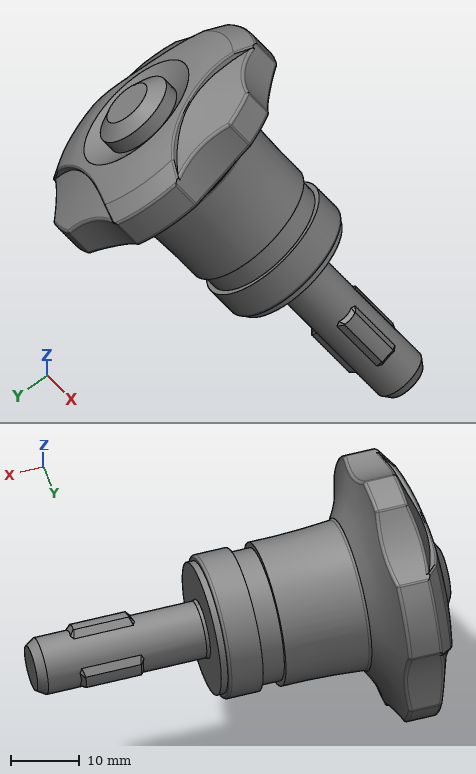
import cadquery as cq
import math

overall_length = 62.8

button_radius = 6.35
button_face_radius = 3.8
button_chamfer_length = 1.45
recess_radius = 10.05
recess_bottom_x = 3.75

head_diameter = 40.0
head_radius = head_diameter / 2
head_face_x = 2.15
dome_mid_x = 2.75
dome_mid_radius = 13.75
dome_end_x = 3.9
dome_end_radius = 17.1
rim_front_x = 5.9
rim_rear_x = 10.8

flare_mid_x = 12.2
flare_mid_radius = 15.3
neck_start_x = 14.45
neck_start_radius = 11.3
neck_mid_radius = 10.85
neck_end_x = 27.2
neck_end_radius = 10.8
neck_root_fillet = 0.5

groove_radius = 10.0
collar_start_x = 30.65
collar_end_x = 35.8
collar_fillet = 0.4
disc_end_x = 36.8

shaft_radius = 4.3
shaft_root_step = 0.2
shaft_root_length = 0.5
shaft_tip_radius = 3.4
shaft_tip_length = 1.4

key_count = 3
key_start_x = 46.6
key_length = 10.2
key_width = 4.0
key_corner = 0.55
key_outer_radius = 5.0
key_base_radius = 3.75
key_taper = 36.0
first_key_angle = 180.0

grip_count = 3
narrow_lobe_angle = 94.0
flute_offset_angle = 26.3
flute_radius = 17.6
flute_bottom_radius = 18.1
scoop_wall_distance = 11.7
scoop_wall_radius = 28.9
scoop_floor_start_radius = 11.3
scoop_floor_start_x = 2.7
scoop_floor_slope = 0.37
scoop_edge_fillet = 0.3
rim_fillet = 0.5
shortest_rim_edge = 2.5

surface_tolerance = 0.01
edge_samples = [0, 0.3, 0.7, 1]

scoop_angles = [narrow_lobe_angle + index * 360 / grip_count for index in range(grip_count)]
flute_angles = [angle + side * flute_offset_angle for angle in scoop_angles for side in (-1, 1)]
key_angles = [first_key_angle + index * 360 / key_count for index in range(key_count)]


def turned_body():
    """All the turned surfaces, revolved about X with the seam on -Z."""
    neck_mid_x = (neck_start_x + neck_end_x) / 2
    profile = (
        cq.Workplane("XY")
        .moveTo(0, 0)
        .lineTo(0, button_face_radius)
        .lineTo(button_chamfer_length, button_radius)
        .lineTo(recess_bottom_x, button_radius)
        .lineTo(head_face_x, recess_radius)
        .threePointArc((dome_mid_x, dome_mid_radius), (dome_end_x, dome_end_radius))
        .lineTo(rim_front_x, head_radius)
        .lineTo(rim_rear_x, head_radius)
        .threePointArc((flare_mid_x, flare_mid_radius), (neck_start_x, neck_start_radius))
        .threePointArc((neck_mid_x, neck_mid_radius), (neck_end_x, neck_end_radius))
        .lineTo(neck_end_x, groove_radius)
        .lineTo(collar_start_x, groove_radius)
        .lineTo(collar_start_x, neck_end_radius)
        .lineTo(collar_end_x - collar_fillet, neck_end_radius)
        .radiusArc((collar_end_x, neck_end_radius - collar_fillet), collar_fillet)
        .lineTo(collar_end_x, groove_radius)
        .lineTo(disc_end_x, groove_radius)
        .lineTo(disc_end_x, shaft_radius + shaft_root_step)
        .lineTo(disc_end_x + shaft_root_length, shaft_radius)
        .lineTo(overall_length - shaft_tip_length, shaft_radius)
        .lineTo(overall_length, shaft_tip_radius)
        .lineTo(overall_length, 0)
        .close()
    )
    return turned(profile.revolve(360, (0, 0, 0), (1, 0, 0)), -90)


def turned(shape, angle):
    """Rotate a shape about the part axis; angles run from +Y towards +Z."""
    return shape.rotate((0, 0, 0), (1, 0, 0), angle)


def flute():
    """Cylinder parallel to X that hollows the rim on the +Y side."""
    return (
        cq.Workplane("YZ")
        .center(flute_bottom_radius + flute_radius, 0)
        .circle(flute_radius)
        .extrude(neck_start_x)
    )


def scoop():
    """Front face cutter on the +Y side: arched wall parallel to X over a conical floor."""
    apex_x = scoop_floor_start_x - scoop_floor_slope * scoop_floor_start_radius
    reach = head_radius + flute_radius
    floor = (
        cq.Workplane("XY")
        .moveTo(apex_x, 0)
        .lineTo(apex_x + scoop_floor_slope * reach, reach)
        .lineTo(apex_x, reach)
        .close()
        .revolve(360, (0, 0, 0), (1, 0, 0))
    )
    wall = (
        cq.Workplane("YZ", origin=(apex_x, 0, 0))
        .center(scoop_wall_distance + scoop_wall_radius, 0)
        .circle(scoop_wall_radius)
        .extrude(rim_rear_x)
    )
    return wall.intersect(floor)


def key():
    """Tapered key on the -Y side of the shaft with a cylindrical top."""
    block = (
        cq.Workplane("XZ", origin=(key_start_x + key_length / 2, -key_base_radius, 0))
        .sketch()
        .rect(key_length, key_width)
        .vertices()
        .chamfer(key_corner)
        .finalize()
        .extrude(key_outer_radius - key_base_radius, taper=key_taper)
    )
    top = cq.Workplane("YZ").circle(key_outer_radius).extrude(overall_length)
    return block.intersect(top)


def distances_from_axis(edge, axis_radius, angle):
    """Distances of points along an edge from an axis parallel to X at a polar position."""
    axis_y = axis_radius * math.cos(math.radians(angle))
    axis_z = axis_radius * math.sin(math.radians(angle))
    points = edge.positions(edge_samples)
    return [math.hypot(point.y - axis_y, point.z - axis_z) for point in points]


def lies_on_cylinder(edge, axis_radius, angle, radius):
    """True where a whole edge lies on a cylinder parallel to X."""
    distances = distances_from_axis(edge, axis_radius, angle)
    return all(abs(distance - radius) < surface_tolerance for distance in distances)


def is_rim_edge(edge):
    """True for the long edges around the lobes and flutes of the rim."""
    if edge.Length() < shortest_rim_edge:
        return False
    if lies_on_cylinder(edge, 0, 0, head_radius):
        return True
    axis_radius = flute_bottom_radius + flute_radius
    return any(lies_on_cylinder(edge, axis_radius, angle, flute_radius) for angle in flute_angles)


def is_neck_root(edge):
    """True for the corner where the flare meets the neck."""
    return lies_on_cylinder(edge, 0, 0, neck_start_radius)


def is_scoop_edge(edge):
    """True for the upper edges of the scoop walls, above the scoop floor."""
    axis_radius = scoop_wall_distance + scoop_wall_radius
    middle = edge.positionAt(0.5)
    floor_rise = scoop_floor_slope * (math.hypot(middle.y, middle.z) - scoop_floor_start_radius)
    above_floor = scoop_floor_start_x + floor_rise - middle.x
    on_wall = any(lies_on_cylinder(edge, axis_radius, angle, scoop_wall_radius) for angle in scoop_angles)
    return on_wall and edge.geomType() != "LINE" and above_floor > surface_tolerance


result = turned_body()
result = result.edges().filter(is_neck_root).fillet(neck_root_fillet)
for angle in scoop_angles:
    result = result.cut(turned(scoop(), angle))
for angle in flute_angles:
    result = result.cut(turned(flute(), angle))
result = result.edges().filter(is_rim_edge).fillet(rim_fillet)
result = result.edges().filter(is_scoop_edge).fillet(scoop_edge_fillet)
for angle in key_angles:
    result = result.union(turned(key(), angle))